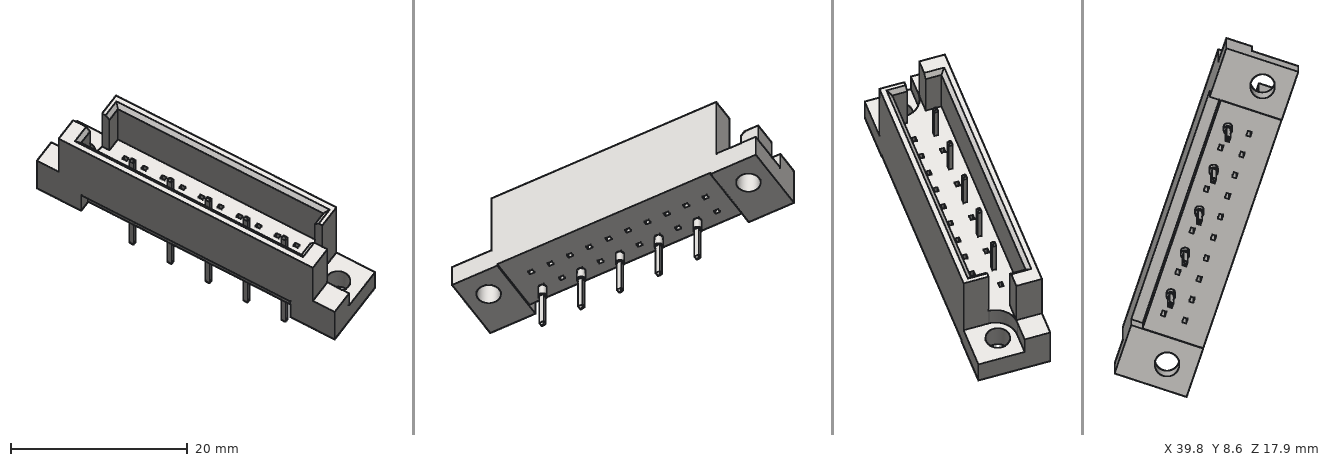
import cadquery as cq

LENGTH = 39.8
WIDTH = 8.6
HEIGHT = 11.62
OVERALL_HEIGHT = 17.9
FRONT = -WIDTH / 2
BACK = WIDTH / 2

COLUMNS = 10
ROW_LENGTH = 22.85
PITCH = ROW_LENGTH / (COLUMNS - 1)
GRID_SHIFT = -0.15
BACK_ROW_SETBACK = 3.0
BACK_ROW_Y = BACK - BACK_ROW_SETBACK
FRONT_ROW_Y = BACK_ROW_Y - PITCH
CONTACT_X = 0.6
CONTACT_Y = 0.48

FLOOR_Z = 5.3
FRONT_WALL_INSET = 2.9
BACK_WALL_INSET = 5.17
FRONT_WALL_LENGTH = LENGTH - 2 * FRONT_WALL_INSET
BACK_WALL_LENGTH = LENGTH - 2 * BACK_WALL_INSET
SIDE_WALL = 1.2
FRONT_END_WALL = 2.25
BACK_END_WALL = 1.0
RIM_BEVEL = 0.5

EAR_Z = 3.0
EAR_CORNER_RADIUS = BACK_ROW_Y - FRONT_ROW_Y
EAR_HOLE_SPAN = 34.03
EAR_HOLE_DIAMETER = 2.8
EAR_HOLE_SETBACK = 3.3
EAR_HOLE_Y = BACK - EAR_HOLE_SETBACK

FOOT_SPAN = 27.95
FOOT_HEIGHT = 0.25
STEP_Z = 3.0
STEP_DEPTH = 1.35

PIN_TOP_Z = 9.95
PIN_BOTTOM_Z = HEIGHT - OVERALL_HEIGHT
TIP_LENGTH = 0.35
TIP_INSET = 0.18
COLLAR_DIAMETER = 1.0
COLLAR_HEIGHT = 1.45


def block(x_size, y_min, y_max, z_min, z_max):
    """Box centred on X = 0 between the given Y and Z limits."""
    solid = cq.Workplane("XY").box(x_size, y_max - y_min, z_max - z_min, centered=(True, False, False))
    return solid.translate((0, y_min, z_min))


def taper(x_size, y_size, inset, z_start, z_end):
    """Rectangular frustum that narrows by the inset on every side from z_start to z_end."""
    return (
        cq.Workplane("XY", origin=(0, 0, z_start))
        .rect(x_size, y_size)
        .workplane(offset=z_end - z_start)
        .rect(x_size - 2 * inset, y_size - 2 * inset)
        .loft(combine=True)
    )


def column_x(column):
    """X position of a contact column, counted from the -X end."""
    return GRID_SHIFT + (column - (COLUMNS - 1) / 2) * PITCH


def half_shroud(length, end_wall, outer_y, inner_y):
    """U-shaped wall: a long side at outer_y with both ends returning to inner_y, rim bevelled inside."""
    y_min, y_max = min(outer_y, inner_y), max(outer_y, inner_y)
    cavity_x = length - 2 * end_wall
    cavity_y = 2 * (y_max - y_min - SIDE_WALL)
    cavity = block(cavity_x, -cavity_y / 2, cavity_y / 2, FLOOR_Z, HEIGHT)
    rim_x = cavity_x + 2 * RIM_BEVEL
    rim_y = cavity_y + 2 * RIM_BEVEL
    bevel = taper(rim_x, rim_y, RIM_BEVEL, HEIGHT, HEIGHT - RIM_BEVEL)
    wall = block(length, y_min, y_max, FLOOR_Z, HEIGHT)
    return wall.cut(cavity.union(bevel).translate((0, inner_y, 0)))


def ear_recess():
    """Lowered corner at the +X end, with its inner vertical edge rounded."""
    inner_x = BACK_WALL_LENGTH / 2
    recess_length = LENGTH / 2 - inner_x
    recess = block(recess_length, FRONT_ROW_Y, BACK, EAR_Z, FLOOR_Z)
    rounded = recess.edges("|Z").edges("<X").edges("<Y").fillet(EAR_CORNER_RADIUS)
    return rounded.translate((inner_x + recess_length / 2, 0, 0))


def make_housing():
    """Base with mounting ears, contact holes and a split shroud."""
    body = block(LENGTH, FRONT, BACK, 0, FLOOR_Z)

    recess = ear_recess()
    body = body.cut(recess).cut(recess.mirror("YZ"))
    ear_holes = (
        cq.Workplane("XY")
        .pushPoints([(-EAR_HOLE_SPAN / 2, EAR_HOLE_Y), (EAR_HOLE_SPAN / 2, EAR_HOLE_Y)])
        .circle(EAR_HOLE_DIAMETER / 2)
        .extrude(FLOOR_Z)
    )
    body = body.cut(ear_holes)

    body = body.cut(block(FOOT_SPAN, FRONT, BACK, 0, FOOT_HEIGHT))
    body = body.cut(block(FOOT_SPAN, FRONT, FRONT + STEP_DEPTH, 0, STEP_Z))

    body = body.union(half_shroud(FRONT_WALL_LENGTH, FRONT_END_WALL, FRONT, FRONT_ROW_Y))
    body = body.union(half_shroud(BACK_WALL_LENGTH, BACK_END_WALL, BACK, BACK_ROW_Y))

    grid = [(column_x(column), y) for column in range(COLUMNS) for y in (FRONT_ROW_Y, BACK_ROW_Y)]
    contact_holes = cq.Workplane("XY").pushPoints(grid).rect(CONTACT_X, CONTACT_Y).extrude(FLOOR_Z)
    return body.cut(contact_holes)


def make_pin(x):
    """Straight pin with tapered tips and a round collar just below the housing."""
    shank_bottom = PIN_BOTTOM_Z + TIP_LENGTH
    shank_top = PIN_TOP_Z - TIP_LENGTH
    pin = block(CONTACT_X, -CONTACT_Y / 2, CONTACT_Y / 2, shank_bottom, shank_top)
    pin = pin.union(taper(CONTACT_X, CONTACT_Y, TIP_INSET, shank_top, PIN_TOP_Z))
    pin = pin.union(taper(CONTACT_X, CONTACT_Y, TIP_INSET, shank_bottom, PIN_BOTTOM_Z))
    collar = cq.Workplane("XY").circle(COLLAR_DIAMETER / 2).extrude(-COLLAR_HEIGHT)
    return pin.union(collar).translate((x, FRONT_ROW_Y, 0))


housing = make_housing()

pins = [make_pin(column_x(column)) for column in range(1, COLUMNS, 2)]

result = cq.Compound.makeCompound([housing.val(), *[pin.val() for pin in pins]])